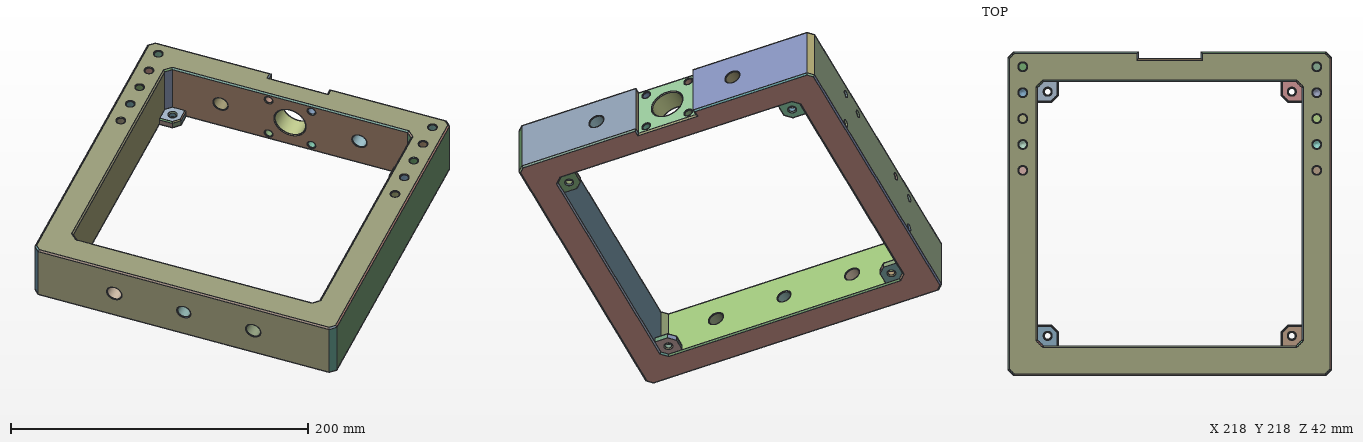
import cadquery as cq
import math

side = 218.0
height = 42.0
wall = 20.0
opening = side - 2 * wall
corner_chamfer = 4.0
edge_break = 1.0
mid_height = height / 2

notch_width = 42.0
notch_depth = 4.5

tab_size = 14.0
tab_bottom_z = edge_break
tab_thickness = 5.0
tab_corner = 4.5
tab_edge_break = 0.9
tab_hole_inset = 6.8
tab_hole = 4.5
tab_hole_mouth = 6.0

row_hole_count = 5
row_pitch = 17.5
row_inset = 10.0
row_hole = 5.5
row_mouth = 6.5
dowel_depth = 10.0
screw_depth = 15.0
drill_point_angle = 118.0

cross_spacing = 50.1
cross_hole = 10.2
cross_mouth = 11.1
front_centre_hole = 9.2
front_centre_mouth = 10.2
rear_centre_hole = 22.0
rear_centre_mouth = 23.3

flange_pitch = 31.0
flange_hole = 5.2
flange_mouth = 6.3

left_hole = 3.3
left_mouth = 5.2
left_depth = 10.0
left_upper_z = height - 8.7
left_lower_z = 4.4
left_outer_y = (-51.5, 53.2)
left_upper_y = (-29.5, 33.4)

TO_REAR = (0, 1, 0)
TO_RIGHT = (1, 0, 0)
DOWN = (0, 0, -1)


def chamfered_block(size, z_size, chamfer):
    """Square block with its four upright edges chamfered."""
    block = cq.Workplane("XY").rect(size, size).extrude(z_size)
    return block.edges("|Z").chamfer(chamfer)


def turned_cutter(profile, start, direction):
    """Revolve a (radius, depth) profile into a cutter that runs from start along direction."""
    reference = (0, 0, 1) if direction[2] == 0 else (1, 0, 0)
    plane = cq.Plane(origin=start, xDir=reference, normal=direction)
    axial = cq.Plane(origin=start, xDir=plane.xDir, normal=-plane.yDir)
    return cq.Workplane(axial).polyline(profile).close().revolve(360, (0, 0, 0), (0, 1, 0))


def through_hole(diameter, mouth, start, direction, length):
    """Straight hole with a 45 degree chamfer at each end."""
    radius = diameter / 2
    flare = (mouth - diameter) / 2
    profile = [
        (0, 0),
        (radius + flare, 0),
        (radius, flare),
        (radius, length - flare),
        (radius + flare, length),
        (0, length),
    ]
    return turned_cutter(profile, start, direction)


def blind_hole(diameter, mouth, start, direction, depth, tip=0.0):
    """Hole with a chamfered mouth; tip is the height of a conical end, or 0 for a flat one."""
    radius = diameter / 2
    flare = (mouth - diameter) / 2
    profile = [(0, 0), (radius + flare, 0), (radius, flare), (radius, depth), (0, depth + tip)]
    return turned_cutter(profile, start, direction)


def drill_tip(diameter):
    """Height of the cone that the drill point leaves."""
    return diameter / 2 / math.tan(math.radians(drill_point_angle / 2))


def frame():
    body = chamfered_block(side, height, corner_chamfer)
    body = body.cut(chamfered_block(opening, height, corner_chamfer))
    notch = cq.Workplane("XY").box(notch_width, 2 * notch_depth, height, centered=(True, True, False))
    body = body.cut(notch.translate((0, side / 2, 0)))
    return body.faces("<Z or >Z").chamfer(edge_break)


def corner_tab(x_sign, y_sign):
    """Drilled tab built on a square that reaches into both walls so that it fuses with them."""
    corner_x = x_sign * opening / 2
    corner_y = y_sign * opening / 2
    tab = chamfered_block(2 * tab_size, tab_thickness, tab_corner).faces(">Z").chamfer(tab_edge_break)
    tab = tab.translate((corner_x, corner_y, tab_bottom_z))
    top_centre = (
        corner_x - x_sign * tab_hole_inset,
        corner_y - y_sign * tab_hole_inset,
        tab_bottom_z + tab_thickness,
    )
    return tab.cut(through_hole(tab_hole, tab_hole_mouth, top_centre, DOWN, tab_thickness))


def row_holes():
    """Row holes of both side walls; every second one is a drilled screw hole."""
    holes = []
    for x in (row_inset - side / 2, side / 2 - row_inset):
        for index in range(row_hole_count):
            start = (x, side / 2 - row_inset - index * row_pitch, height)
            if index % 2 == 0:
                hole = blind_hole(row_hole, row_mouth, start, DOWN, dowel_depth)
            else:
                tip = drill_tip(row_hole)
                hole = blind_hole(row_hole, row_mouth, start, DOWN, screw_depth, tip)
            holes.append(hole)
    return holes


def front_and_rear_holes():
    front_y = -side / 2
    rear_y = side / 2 - wall
    notched_wall = wall - notch_depth
    holes = [
        through_hole(cross_hole, cross_mouth, (x, y, mid_height), TO_REAR, wall)
        for x in (-cross_spacing, cross_spacing)
        for y in (front_y, rear_y)
    ]
    front_centre = (0, front_y, mid_height)
    holes.append(through_hole(front_centre_hole, front_centre_mouth, front_centre, TO_REAR, wall))
    rear_centre = (0, rear_y, mid_height)
    holes.append(through_hole(rear_centre_hole, rear_centre_mouth, rear_centre, TO_REAR, notched_wall))
    for x in (-flange_pitch / 2, flange_pitch / 2):
        for z in (mid_height - flange_pitch / 2, mid_height + flange_pitch / 2):
            holes.append(through_hole(flange_hole, flange_mouth, (x, rear_y, z), TO_REAR, notched_wall))
    return holes


def left_wall_holes():
    places = [(y, left_upper_z) for y in left_outer_y + left_upper_y]
    places += [(y, left_lower_z) for y in left_outer_y]
    return [
        blind_hole(left_hole, left_mouth, (-side / 2, y, z), TO_RIGHT, left_depth)
        for y, z in places
    ]


result = frame()
for tab_x_sign in (-1, 1):
    for tab_y_sign in (-1, 1):
        result = result.union(corner_tab(tab_x_sign, tab_y_sign))
for cutter in row_holes() + front_and_rear_holes() + left_wall_holes():
    result = result.cut(cutter)